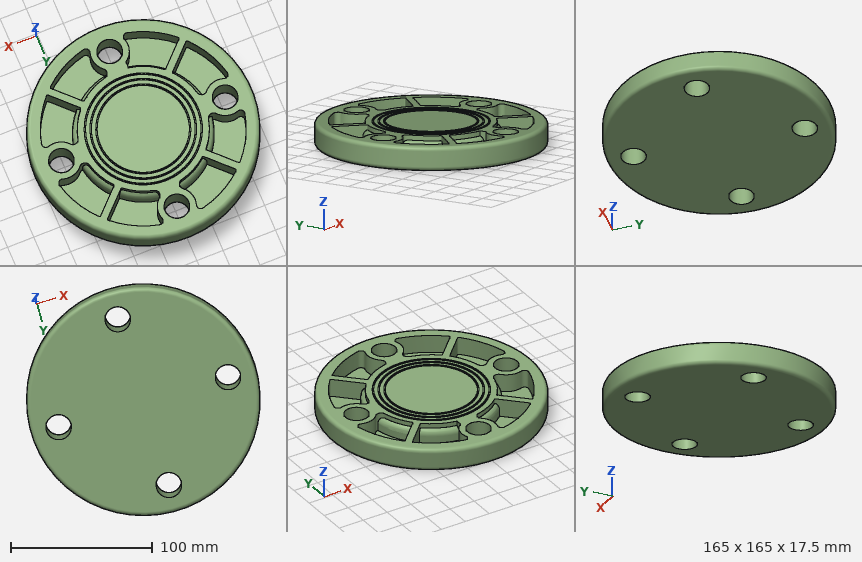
import cadquery as cq
import math

disc_diameter = 165.0
disc_thickness = 17.45
rim_fillet = 3.0

bolt_hole_diameter = 18.0
bolt_circle_radius = 62.5
bolt_hole_count = 4
bolt_boss_radius = 13.85

groove_width = 1.0
groove_depth = 0.5
groove_outer_diameters = (67.2, 75.4, 83.6)

floor_thickness = 3.5
pocket_inner_radius = 46.7
pocket_outer_radius = 72.7
rib_width = 5.35
rib_corner_fillet = 1.0
boss_corner_fillet = 3.0
neck_fillet = 3.75

hub_radius = 50.1
hub_fillet = 5.25
hub_top_depth = 3.3

pocket_depth = disc_thickness - floor_thickness


def make_disc():
    disc = cq.Workplane("XY").circle(disc_diameter / 2).extrude(disc_thickness)
    return disc.faces("<Z or >Z").edges().fillet(rim_fillet)


def make_bolt_holes():
    return (
        cq.Workplane("XY")
        .polarArray(bolt_circle_radius, 0, 360, bolt_hole_count)
        .circle(bolt_hole_diameter / 2)
        .extrude(disc_thickness)
    )


def make_groove(outer_diameter):
    return (
        cq.Workplane("XY", origin=(0, 0, disc_thickness - groove_depth))
        .circle(outer_diameter / 2)
        .circle(outer_diameter / 2 - groove_width)
        .extrude(groove_depth)
    )


def make_hub():
    hub_height = disc_thickness - hub_top_depth
    hub = cq.Workplane("XY").circle(hub_radius).extrude(hub_height)
    return hub.faces(">Z").edges().fillet(hub_fillet)


def rib_crossing(radius):
    """Point where a circle about the disc axis meets the -Y side of the +X -Y rib."""
    angle = math.asin(rib_width / 2 / radius) + math.pi / 4
    return radius * math.cos(angle), -radius * math.sin(angle)


def boss_crossing(radius):
    """Point where a circle about the disc axis meets the +X side of the -Y bolt boss."""
    y = (bolt_circle_radius**2 + radius**2 - bolt_boss_radius**2) / (2 * bolt_circle_radius)
    return math.sqrt(radius**2 - y**2), -y


def arc_middle(start, end, radius):
    """Middle of the short arc about the disc axis between two points."""
    angle = (math.atan2(start[1], start[0]) + math.atan2(end[1], end[0])) / 2
    return radius * math.cos(angle), radius * math.sin(angle)


def fillet_corner(pocket, corner, radius):
    """Round the upright edge of a pocket that stands at the given corner point."""
    middle_height = floor_thickness + pocket_depth / 2
    nearest = cq.selectors.NearestToPointSelector((*corner, middle_height))
    return pocket.edges("|Z").edges(nearest).fillet(radius)


def neck_fillet_centre():
    """Centre of the round that touches both the -Y bolt boss and the inner pocket wall."""
    from_axis = pocket_inner_radius + neck_fillet
    from_boss = bolt_boss_radius + neck_fillet
    y = (bolt_circle_radius**2 + from_axis**2 - from_boss**2) / (2 * bolt_circle_radius)
    return math.sqrt(from_axis**2 - y**2), -y


def start_round_neck():
    """Start of a pocket outline: the round from the inner wall to the -Y boss, and its first point."""
    centre_x, centre_y = neck_fillet_centre()
    wall_ratio = pocket_inner_radius / (pocket_inner_radius + neck_fillet)
    boss_ratio = bolt_boss_radius / (bolt_boss_radius + neck_fillet)
    start = (centre_x * wall_ratio, centre_y * wall_ratio)
    end_y = (centre_y + bolt_circle_radius) * boss_ratio - bolt_circle_radius
    end = (centre_x * boss_ratio, end_y)
    middle = (centre_x - neck_fillet, centre_y)
    plane = cq.Workplane("XY", origin=(0, 0, floor_thickness))
    return plane.moveTo(*start).threePointArc(middle, end), start


def start_flat_neck():
    """Start of a pocket outline: a flat wall where the round would be narrowest, and its first point."""
    neck_x = neck_fillet_centre()[0] - neck_fillet
    start = (neck_x, -math.sqrt(pocket_inner_radius**2 - neck_x**2))
    end = (neck_x, math.sqrt(bolt_boss_radius**2 - neck_x**2) - bolt_circle_radius)
    plane = cq.Workplane("XY", origin=(0, 0, floor_thickness))
    return plane.moveTo(*start).lineTo(*end), start


def make_pocket(outline, neck_start):
    """Pocket between the -Y bolt boss and the +X -Y rib, from an outline begun at the neck."""
    boss_side = (bolt_boss_radius, -bolt_circle_radius)
    boss_outer = boss_crossing(pocket_outer_radius)
    rib_outer = rib_crossing(pocket_outer_radius)
    rib_inner = rib_crossing(pocket_inner_radius)
    pocket = (
        outline.threePointArc(boss_side, boss_outer)
        .threePointArc(arc_middle(boss_outer, rib_outer, pocket_outer_radius), rib_outer)
        .lineTo(*rib_inner)
        .threePointArc(arc_middle(rib_inner, neck_start, pocket_inner_radius), neck_start)
        .close()
        .extrude(pocket_depth)
    )
    for corner in (rib_inner, rib_outer):
        pocket = fillet_corner(pocket, corner, rib_corner_fillet)
    return fillet_corner(pocket, boss_outer, boss_corner_fillet)


def make_pockets():
    """All eight pockets; only the one on the -X side of the -Y bolt hole has a flat neck."""
    round_pocket = make_pocket(*start_round_neck())
    flat_pocket = make_pocket(*start_flat_neck())
    mirrored_pocket = round_pocket.mirror("YZ")
    pockets = [round_pocket, flat_pocket.mirror("YZ")]
    for index in range(1, bolt_hole_count):
        angle = index * 360 / bolt_hole_count
        for pocket in (round_pocket, mirrored_pocket):
            pockets.append(pocket.rotate((0, 0, 0), (0, 0, 1), angle))
    return pockets


result = make_disc().cut(make_bolt_holes())

for diameter in groove_outer_diameters:
    result = result.cut(make_groove(diameter))

hub = make_hub()
for pocket in make_pockets():
    result = result.cut(pocket.cut(hub))